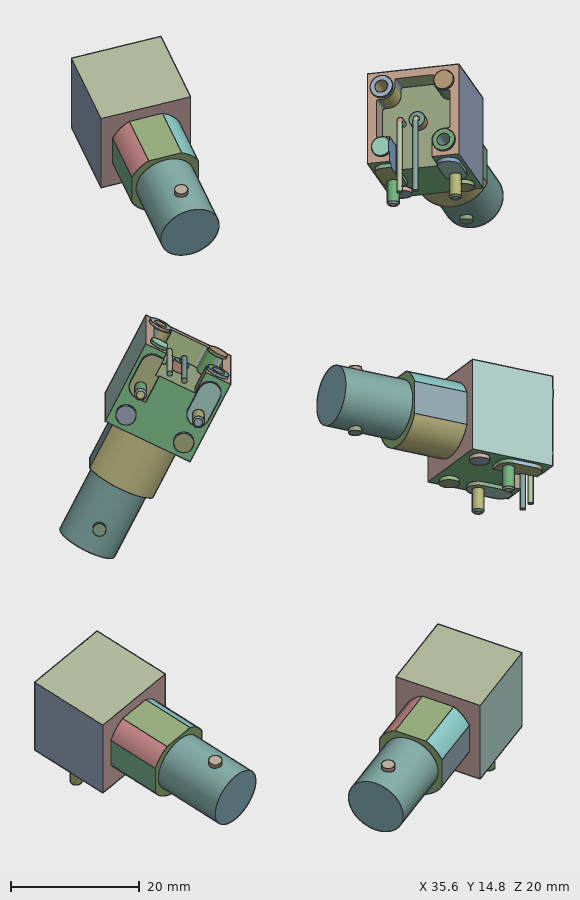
import cadquery as cq


total_length = 35.6
rear_standoff = 0.45
housing_end = 14.6
nut_end = 23.8

housing_width = 14.77
housing_height = 15.2
housing_rear = rear_standoff
axis_z = housing_height / 2

barrel_diameter = 9.6
nut_diameter = 12.25
nut_half_flats = 5.5
stud_x = 31.4
stud_diameter = 2.05
stud_span = 11.0

corner_y = 5.02
corner_inset = 2.53
ring_diameter = 3.6
disc_diameter = 3.17
socket_diameter = 2.03
socket_depth = 3.9

cavity_floor_x = 4.2
cavity_half_width = 5.95
cavity_top = 13.85
cavity_fillet = 0.32
slot_left = 3.8
slot_right = -3.05
ledge_z = 4.2
ring_post_radius = 2.05
disc_post_radius = 1.67

foot_height = 0.68
foot_rear_x = 3.1
peg_x = 7.0
front_foot_x = 12.1
peg_diameter = 1.9
peg_tip_z = -4.55
peg_chamfer = 0.3

lead_diameter = 0.85
lead_x = 1.8
lead_ys = (0.0, 2.55)
lead_tip_z = -4.8
lead_bend_radius = 0.7
lead_embedment = 0.7
insulator_diameter = 2.53
insulator_face_x = 2.67

embedded_end = cavity_floor_x + lead_embedment
low_corner_z = corner_inset
high_corner_z = housing_height - corner_inset
ring_corners = ((corner_y, high_corner_z), (-corner_y, low_corner_z))
disc_corners = ((-corner_y, high_corner_z), (corner_y, low_corner_z))


def x_cylinder(diameter, x_start, x_end, y, z):
    """Cylinder along X between two X positions."""
    return (
        cq.Workplane("YZ", origin=(x_start, y, z))
        .circle(diameter / 2)
        .extrude(x_end - x_start)
    )


def block(x_range, y_range, z_range):
    """Axis-aligned box given by its limits."""
    size = [high - low for low, high in (x_range, y_range, z_range)]
    corner = (x_range[0], y_range[0], z_range[0])
    return cq.Workplane("XY").box(*size, centered=False).translate(corner)


def make_nut():
    """Round section with flats on the top and on both sides, left round underneath."""
    nut = x_cylinder(nut_diameter, housing_end, nut_end, 0, axis_z)
    flats = block(
        (housing_end, nut_end),
        (-nut_half_flats, nut_half_flats),
        (axis_z - nut_diameter, axis_z + nut_half_flats),
    )
    return nut.intersect(flats)


def make_barrel():
    """Plain barrel with a stud through it at top and bottom."""
    barrel = x_cylinder(barrel_diameter, nut_end, total_length, 0, axis_z)
    studs = (
        cq.Workplane("XY", origin=(stud_x, 0, axis_z))
        .circle(stud_diameter / 2)
        .extrude(stud_span / 2, both=True)
    )
    return barrel.union(studs)


def make_corner_post(y, z, radius):
    """Post in a housing corner, rounded about the corner station on its inner side."""
    outward_y = housing_width / 2 if y > 0 else -housing_width / 2
    outward_z = housing_height if z > axis_z else 0.0
    inward_y = y - radius if y > 0 else y + radius
    inward_z = z - radius if z > axis_z else z + radius
    x_range = (housing_rear, cavity_floor_x)
    beside = block(x_range, sorted((y, outward_y)), sorted((inward_z, outward_z)))
    across = block(x_range, sorted((inward_y, outward_y)), sorted((z, outward_z)))
    rounding = x_cylinder(2 * radius, *x_range, y, z)
    return beside.union(across).union(rounding)


def make_cavity():
    """Rear pocket around the corner posts and the ledge, with its slot to the underside."""
    x_range = (housing_rear, cavity_floor_x)
    cavity = block(x_range, (-cavity_half_width, cavity_half_width), (0, cavity_top))
    ledge = block(x_range, (slot_left, housing_width / 2), (0, ledge_z))
    cavity = cavity.cut(ledge)
    for y, z in ring_corners:
        cavity = cavity.cut(make_corner_post(y, z, ring_post_radius))
    cavity = cavity.cut(make_corner_post(*disc_corners[0], disc_post_radius))

    tolerance = 0.018
    on_walls = cavity.edges("|X").filter(
        lambda edge: abs(abs(edge.Center().y) - cavity_half_width) < tolerance
        or abs(edge.Center().z - cavity_top) < tolerance
    )
    return on_walls.fillet(cavity_fillet)


def make_slot():
    """Passage for the leads, cut through everything below the cavity."""
    return block(
        (0, cavity_floor_x),
        (slot_right, slot_left),
        (-foot_height, ledge_z),
    )


def make_rear_standoffs():
    """Ring bosses and plain discs on the rear face."""
    standoffs = cq.Workplane("XY")
    for y, z in ring_corners:
        standoffs = standoffs.add(x_cylinder(ring_diameter, 0, housing_rear, y, z))
    for y, z in disc_corners:
        standoffs = standoffs.add(x_cylinder(disc_diameter, 0, housing_rear, y, z))
    return standoffs.combine()


def make_peg(y):
    """Locating peg with a chamfered tip."""
    return (
        cq.Workplane("XY", origin=(peg_x, y, peg_tip_z))
        .circle(peg_diameter / 2)
        .extrude(-peg_tip_z)
        .faces("<Z")
        .chamfer(peg_chamfer)
    )


def make_feet():
    """Long feet carrying the pegs, round feet ahead of them."""
    middle_x = (foot_rear_x + peg_x) / 2
    length = peg_x - foot_rear_x + ring_diameter
    feet = (
        cq.Workplane("XY", origin=(0, 0, -foot_height))
        .pushPoints([(middle_x, -corner_y), (middle_x, corner_y)])
        .slot2D(length, ring_diameter)
        .pushPoints([(front_foot_x, -corner_y), (front_foot_x, corner_y)])
        .circle(disc_diameter / 2)
        .extrude(foot_height)
    )
    square_side = block(
        (middle_x - length / 2, middle_x + length / 2),
        (corner_y - ring_diameter / 2, corner_y),
        (-foot_height, 0),
    )
    return feet.union(square_side)


def make_lead(y):
    """Round lead rising from its tip and bending forward into the housing."""
    path = (
        cq.Workplane("XZ", origin=(0, y, 0))
        .moveTo(lead_x, lead_tip_z)
        .lineTo(lead_x, axis_z - lead_bend_radius)
        .radiusArc((lead_x + lead_bend_radius, axis_z), lead_bend_radius)
        .lineTo(embedded_end, axis_z)
    )
    profile = cq.Workplane("XY", origin=(lead_x, y, lead_tip_z)).circle(lead_diameter / 2)
    return profile.sweep(path)


half_width = housing_width / 2
result = block((housing_rear, housing_end), (-half_width, half_width), (0, housing_height))
result = result.cut(make_cavity())
result = result.union(make_rear_standoffs())
result = result.union(make_feet())
result = result.cut(make_slot())

for socket_y, socket_z in ring_corners:
    result = result.cut(x_cylinder(socket_diameter, 0, socket_depth, socket_y, socket_z))

for peg_y in (-corner_y, corner_y):
    result = result.union(make_peg(peg_y))

result = result.union(make_nut())
result = result.union(make_barrel())

result = result.union(x_cylinder(insulator_diameter, insulator_face_x, embedded_end, 0, axis_z))
for lead_y in lead_ys:
    result = result.union(make_lead(lead_y))